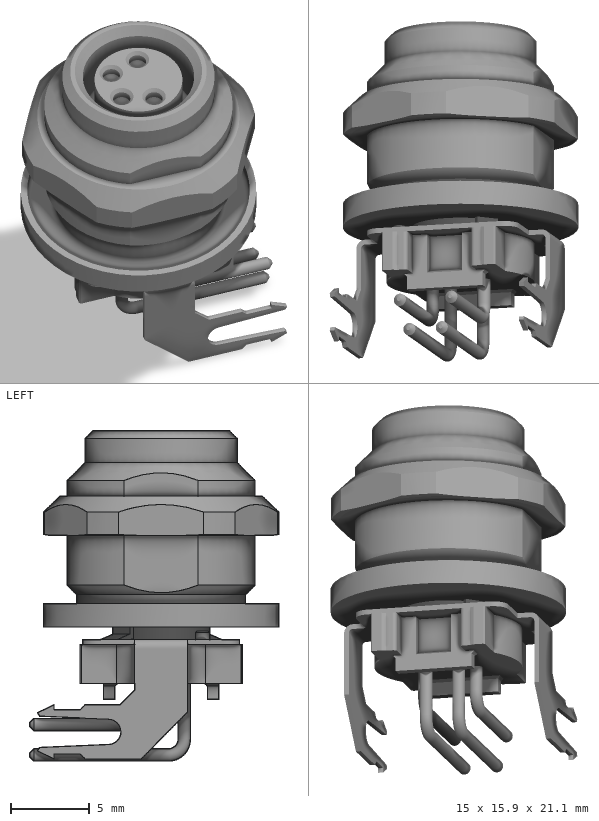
import cadquery as cq
import math


top_z = 12.5
rim_diameter = 9.7
rim_chamfer = 0.5
shoulder_z = 10.48
thread_diameter = 12.0
thread_flats = 11.03
thread_bottom_z = 2.67
neck_diameter = 10.78
flange_diameter = 15.0
flange_height = 1.5
recess_diameter = 14.17
recess_depth = 0.86
recess_fillet = 0.25
mouth_chamfer = 0.5
bore_diameter = 7.1
seal_floor_z = 8.0

nut_top_z = 8.34
nut_bottom_z = 5.83
nut_flats = 14.0
nut_top_diameter = 12.88
nut_chamfer_height = 1.0
nut_base_diameter = 14.17
nut_base_chamfer_height = 0.06

core_diameter = 5.6
core_top_z = 11.7
barrel_diameter = 6.2
socket_diameter = 1.1
socket_mouth_diameter = 1.5
socket_depth = 0.63

plate_top_z = -0.8
plate_thickness = 0.32
plate_side = 10.0
plate_corner_radius = 0.99
arm_width = 3.37
leg_span = 12.85
bend_radius = 0.57
leg_bottom_z = -8.4
tab_width = 1.52
tab_inner_radius = 3.25
tab_outer_radius = 4.72
tab_shoulder_z = -0.45

holder_diameter = 9.43
holder_bottom_z = -3.6
lug_outer_x = 3.77
lug_end_x = 3.03
lug_end_y = 5.18
lug_chamfer = 0.1
rib_outer_x = 2.75
rib_end_y = 5.05
rib_corner_radius = 0.25
holder_face_y = 3.68
pillar_half_width = 2.1
window_width = 2.32
window_sill_rise = 0.3
bar_width = 0.74
bar_length = 5.0
bar_bottom_z = -4.6
bar_flare = 0.17
peg_x = 3.3
peg_y = 2.63
peg_diameter = 0.9
peg_top_z = -0.25
peg_chamfer = 0.1

pin_diameter = 0.8
pin_bend_radius = 1.0
pin_end_y = 8.38
pin_tip_chamfer = 0.27
inner_pin_x = 1.07
inner_pin_y = -1.47
inner_pin_z = -8.15
outer_pin_x = 1.7
outer_pin_y = 0.48
outer_pin_z = -6.2

plate_bottom_z = plate_top_z - plate_thickness
pin_runs = [
    (side * x, y, z)
    for side in (-1, 1)
    for x, y, z in ((inner_pin_x, inner_pin_y, inner_pin_z), (outer_pin_x, outer_pin_y, outer_pin_z))
]


def cylinder(diameter, bottom_z, upper_z):
    """Cylinder on the connector axis."""
    return cq.Workplane("XY").workplane(offset=bottom_z).circle(diameter / 2).extrude(upper_z - bottom_z)


def box(x_range, y_range, z_range):
    """Box between two limits along each axis."""
    size = [high - low for low, high in (x_range, y_range, z_range)]
    corner = (x_range[0], y_range[0], z_range[0])
    return cq.Workplane("XY").box(*size, centered=False).translate(corner)


def revolve_profile(points):
    """Turn a closed (radius, height) outline about the connector axis."""
    return cq.Workplane("XZ").polyline(points).close().revolve(360, (0, 0, 0), (0, 1, 0))


def make_shell():
    """Threaded shell with two side flats, a dished flange and a stepped bore."""
    rim_r = rim_diameter / 2
    thread_r = thread_diameter / 2
    neck_r = neck_diameter / 2
    bore_r = bore_diameter / 2
    barrel_r = barrel_diameter / 2
    floor_z = flange_height - recess_depth

    upper = revolve_profile([
        (0, floor_z),
        (neck_r, floor_z),
        (neck_r, thread_bottom_z - (thread_r - neck_r)),
        (thread_r, thread_bottom_z),
        (thread_r, shoulder_z - (thread_r - rim_r)),
        (rim_r, shoulder_z),
        (rim_r, top_z - rim_chamfer),
        (rim_r - rim_chamfer, top_z),
        (0, top_z),
    ])
    upper = upper.intersect(box(
        (-thread_flats / 2, thread_flats / 2), (-thread_r, thread_r), (floor_z, top_z)))

    recess = cylinder(recess_diameter, floor_z, flange_height).cut(
        cylinder(neck_diameter, floor_z, flange_height))
    recess = recess.faces("<Z").edges().fillet(recess_fillet)
    flange = cylinder(flange_diameter, 0, flange_height).cut(recess)

    bore = revolve_profile([
        (0, 0),
        (barrel_r, 0),
        (barrel_r, seal_floor_z),
        (bore_r, seal_floor_z),
        (bore_r, top_z - mouth_chamfer),
        (bore_r + mouth_chamfer, top_z),
        (0, top_z),
    ])
    return flange.union(upper).cut(bore)


def make_nut(shell):
    """Hexagon nut whose bore matches the flatted thread of the shell."""
    hexagon = (
        cq.Workplane("XY").workplane(offset=nut_bottom_z)
        .polygon(6, nut_flats / math.cos(math.pi / 6)).extrude(nut_top_z - nut_bottom_z)
        .rotate((0, 0, 0), (0, 0, 1), 30)
    )
    corner_r = flange_diameter / 2
    envelope = revolve_profile([
        (0, nut_bottom_z),
        (nut_base_diameter / 2, nut_bottom_z),
        (corner_r, nut_bottom_z + nut_base_chamfer_height),
        (corner_r, nut_top_z - nut_chamfer_height),
        (nut_top_diameter / 2, nut_top_z),
        (0, nut_top_z),
    ])
    blank = hexagon.intersect(envelope)
    shell_core = cylinder(neck_diameter, nut_bottom_z, nut_top_z)
    return blank.cut(shell).cut(shell_core)


def make_o_ring():
    """O-ring lying on the bore floor around the insert core."""
    section_diameter = (bore_diameter - core_diameter) / 2
    middle_radius = (bore_diameter + core_diameter) / 4
    return (
        cq.Workplane("XZ").center(middle_radius, seal_floor_z + section_diameter / 2)
        .circle(section_diameter / 2)
        .revolve(360, (-middle_radius, 0, 0), (-middle_radius, 1, 0))
    )


def make_insert():
    """Contact insert with four countersunk sockets and a barrel that reaches the holder."""
    insert = cylinder(barrel_diameter, plate_bottom_z, seal_floor_z).union(
        cylinder(core_diameter, seal_floor_z, core_top_z))
    socket_r = socket_diameter / 2
    mouth_r = socket_mouth_diameter / 2
    socket = revolve_profile([
        (0, core_top_z - socket_depth),
        (socket_r, core_top_z - socket_depth),
        (socket_r, core_top_z - (mouth_r - socket_r)),
        (mouth_r, core_top_z),
        (0, core_top_z),
    ])
    for x, y, _ in pin_runs:
        insert = insert.cut(socket.translate((x, y, 0)))
    return insert


def make_leg():
    """Forked leg on the -X side, joined to the plate by a rounded bend."""
    outer_x = -leg_span / 2
    half_arm = arm_width / 2
    fork_z = -6.67
    fork_half_height = fork_z - leg_bottom_z
    slot_radius = 0.8
    slot_center_y = 3.37
    prong_root_y = 2.63
    heel_y = 1.26
    heel_top_z = -5.4
    step_y = 4.85
    barb_y = 6.82
    relief_depth = 0.32
    tip_y = 7.87
    tip_half_height = 1.22
    slot_mouth_y = 7.75
    slot_mouth_half_height = 0.99
    arm_corner_z = fork_z + fork_half_height + (prong_root_y - half_arm)

    def prong_edge(side):
        """Outer edge of one prong from its root to the tip, as (Y, Z) points."""
        edge_z = fork_z + side * fork_half_height
        relief_z = edge_z - side * relief_depth
        return [
            (step_y, edge_z),
            (step_y + relief_depth, relief_z),
            (barb_y, relief_z),
            (barb_y, edge_z),
            (tip_y, fork_z + side * tip_half_height),
            (slot_mouth_y, fork_z + side * slot_mouth_half_height),
        ]

    profile = (
        cq.Workplane("YZ").moveTo(-half_arm, plate_top_z)
        .lineTo(-half_arm, heel_top_z)
        .lineTo(heel_y, leg_bottom_z)
    )
    for point in prong_edge(-1):
        profile = profile.lineTo(*point)
    profile = (
        profile.lineTo(slot_center_y, fork_z - slot_radius)
        .threePointArc((slot_center_y - slot_radius, fork_z), (slot_center_y, fork_z + slot_radius))
    )
    for point in reversed(prong_edge(1)):
        profile = profile.lineTo(*point)
    profile = (
        profile.lineTo(prong_root_y, fork_z + fork_half_height)
        .lineTo(half_arm, arm_corner_z)
        .lineTo(half_arm, plate_top_z)
        .close()
    )
    outline = profile.extrude(leg_span / 2).translate((outer_x, 0, 0))

    strip = box((outer_x, 0), (-half_arm, tip_y), (leg_bottom_z, plate_top_z))
    strip = strip.edges("|Y and <X and >Z").fillet(bend_radius)
    inside = box((outer_x + plate_thickness, 0), (-half_arm, tip_y), (leg_bottom_z, plate_bottom_z))
    inside = inside.edges("|Y and <X and >Z").fillet(bend_radius - plate_thickness)
    return strip.cut(inside).intersect(outline)


def make_tab():
    """Spring tab that rises from the plate toward the barrel and stands up beside it."""
    upright_outer = tab_inner_radius + plate_thickness
    tab = (
        cq.Workplane("XZ")
        .polyline([
            (tab_inner_radius, 0),
            (upright_outer, 0),
            (upright_outer, tab_shoulder_z),
            (tab_outer_radius, plate_top_z),
            (tab_outer_radius, plate_bottom_z),
            (tab_inner_radius, tab_shoulder_z - plate_thickness),
        ])
        .close().extrude(tab_width / 2, both=True)
    )
    return tab.rotate((0, 0, 0), (0, 0, 1), -45)


def half_turn(body):
    """Copy of a body turned 180 degrees about the connector axis."""
    return body.rotate((0, 0, 0), (0, 0, 1), 180)


def make_pegs():
    """Two chamfered pegs that stand on the holder and pass through the plate."""
    return (
        cq.Workplane("XY").workplane(offset=plate_bottom_z)
        .pushPoints([(-peg_x, -peg_y), (peg_x, peg_y)])
        .circle(peg_diameter / 2).extrude(peg_top_z - plate_bottom_z)
        .faces(">Z").chamfer(peg_chamfer)
    )


def make_shield_plate():
    """Bent sheet with two forked legs, two spring tabs and holes for the barrel and pegs."""
    plate = (
        cq.Workplane("XY").workplane(offset=plate_bottom_z)
        .rect(plate_side, plate_side).extrude(plate_thickness)
        .edges("|Z").fillet(plate_corner_radius)
    )
    leg = make_leg()
    plate = plate.union(leg).union(leg.mirror("YZ"))
    tab = make_tab()
    plate = plate.union(tab).union(half_turn(tab))
    return plate.cut(cylinder(barrel_diameter, plate_bottom_z, 0)).cut(make_pegs())


def make_bar():
    """Foot bar under the -Y face of the holder, flared where it meets the holder."""
    half_length = bar_length / 2
    flare_z = holder_bottom_z - bar_flare
    inner_y = -holder_face_y + bar_width
    front_outline = (
        cq.Workplane("XZ")
        .polyline([
            (-half_length, bar_bottom_z),
            (half_length, bar_bottom_z),
            (half_length, flare_z),
            (half_length + bar_flare, holder_bottom_z),
            (-half_length - bar_flare, holder_bottom_z),
            (-half_length, flare_z),
        ])
        .close().extrude(holder_face_y)
    )
    side_outline = (
        cq.Workplane("YZ")
        .polyline([
            (-holder_face_y, bar_bottom_z),
            (inner_y, bar_bottom_z),
            (inner_y, flare_z),
            (inner_y + bar_flare, holder_bottom_z),
            (-holder_face_y, holder_bottom_z),
        ])
        .close().extrude(bar_length, both=True)
    )
    return front_outline.intersect(side_outline)


def make_pin(x, y, z):
    """Round pin that leaves the holder downward and bends toward +Y at height z."""
    bend_center = (y + pin_bend_radius, z + pin_bend_radius)
    bend_offset = pin_bend_radius * math.sqrt(0.5)
    path = (
        cq.Workplane("YZ", origin=(x, 0, 0))
        .moveTo(y, holder_bottom_z)
        .lineTo(y, bend_center[1])
        .threePointArc((bend_center[0] - bend_offset, bend_center[1] - bend_offset), (bend_center[0], z))
        .lineTo(pin_end_y, z)
    )
    pin = (
        cq.Workplane("XY", origin=(x, y, holder_bottom_z))
        .circle(pin_diameter / 2).sweep(path)
    )
    return pin.faces(">Y").chamfer(pin_tip_chamfer)


def make_lug():
    """Lug at the +X, -Y corner of the holder, stepped back to a rib with a rounded corner."""
    corner_offset = rib_corner_radius * (1 - math.sqrt(0.5))
    outline = (
        cq.Workplane("XY").workplane(offset=holder_bottom_z)
        .moveTo(pillar_half_width, 0)
        .lineTo(lug_outer_x, 0)
        .lineTo(lug_outer_x, -lug_end_y + lug_chamfer)
        .lineTo(lug_outer_x - lug_chamfer, -lug_end_y)
        .lineTo(lug_end_x, -lug_end_y)
        .lineTo(rib_outer_x, -rib_end_y)
        .lineTo(pillar_half_width + rib_corner_radius, -rib_end_y)
        .threePointArc(
            (pillar_half_width + corner_offset, -rib_end_y + corner_offset),
            (pillar_half_width, -rib_end_y + rib_corner_radius))
        .close()
    )
    return outline.extrude(plate_bottom_z - holder_bottom_z)


def make_window():
    """Recess in the -Y face of the holder with a sill that slopes down to the foot bar."""
    back_y = -holder_face_y + bar_width
    return (
        cq.Workplane("YZ")
        .polyline([
            (-holder_face_y, holder_bottom_z),
            (back_y, holder_bottom_z + window_sill_rise),
            (back_y, plate_bottom_z),
            (-holder_face_y, plate_bottom_z),
        ])
        .close().extrude(window_width / 2, both=True)
    )


def make_holder():
    """Pin holder with four lugs, two windowed faces, foot bars, pegs and molded-in pins."""
    z_range = (holder_bottom_z, plate_bottom_z)
    clearance = box(
        (-pillar_half_width, pillar_half_width), (-holder_diameter / 2, -holder_face_y), z_range)
    clearance = clearance.union(make_window())
    holder = cylinder(holder_diameter, *z_range)
    lug = make_lug()
    lugs = lug.union(lug.mirror("YZ"))
    bar = make_bar()

    holder = holder.cut(clearance).cut(half_turn(clearance))
    for feature in (lugs, bar):
        holder = holder.union(feature).union(half_turn(feature))
    holder = holder.union(make_pegs())
    for x, y, z in pin_runs:
        holder = holder.union(make_pin(x, y, z))
    return holder


shell = make_shell()
nut = make_nut(shell)
o_ring = make_o_ring()
insert = make_insert()
shield_plate = make_shield_plate()
holder = make_holder()

result = cq.Compound.makeCompound([
    shell.val(),
    nut.val(),
    o_ring.val(),
    insert.val(),
    shield_plate.val(),
    holder.val(),
])